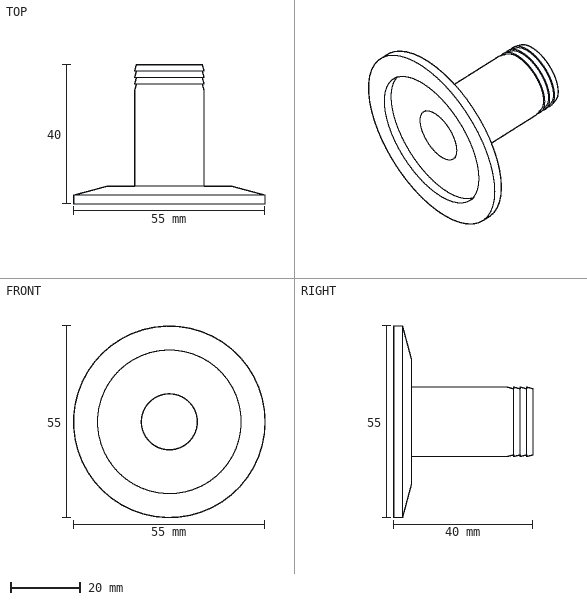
import cadquery as cq
import math

flange_diameter = 55.0
rim_width = 2.57
flange_thickness = 5.13
clamp_angle = 15.0

recess_diameter = 41.2
recess_depth = 2.6

overall_length = 40.0
tube_diameter = 20.0
bore_diameter = 16.0

barb_count = 4
barb_height = 0.5
barb_angle = 15.0

flange_radius = flange_diameter / 2
tube_radius = tube_diameter / 2
barb_root_radius = tube_radius - barb_height
barb_pitch = barb_height / math.tan(math.radians(barb_angle))
barbs_start = overall_length - barb_count * barb_pitch
cone_top_radius = flange_radius - (flange_thickness - rim_width) / math.tan(math.radians(clamp_angle))


def barb_points():
    """Half-profile (radius, Y) points of the sawtooth, from the tube to the tip."""
    points = []
    for index in range(barb_count):
        base = barbs_start + index * barb_pitch
        points.append((tube_radius, base))
        points.append((barb_root_radius, base + barb_pitch))
    return points


def make_body():
    """Solid flange, tube and barbs, revolved about the Y axis."""
    profile = [
        (0, 0),
        (flange_radius, 0),
        (flange_radius, rim_width),
        (cone_top_radius, flange_thickness),
        (tube_radius, flange_thickness),
        *barb_points(),
        (0, overall_length),
    ]
    return cq.Workplane("XY").polyline(profile).close().revolve(360, (0, 0), (0, 1))


def axial_cylinder(diameter, length):
    """Cylinder on the part axis, starting at the flange face."""
    return cq.Workplane("XZ").circle(diameter / 2).extrude(-length)


recess = axial_cylinder(recess_diameter, recess_depth)
bore = axial_cylinder(bore_diameter, overall_length)

result = make_body().cut(recess).cut(bore)